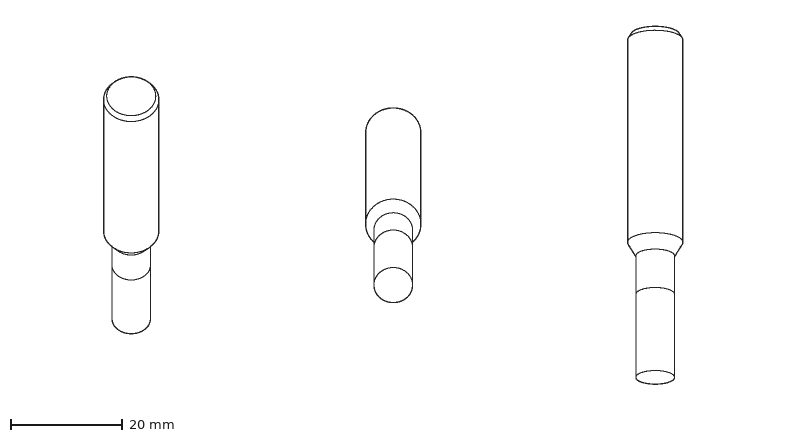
import cadquery as cq
import math

total_length = 66.0
shank_diameter = 10.0
neck_diameter = 7.0
tip_length = 16.0
shank_top_length = 40.0
end_chamfer_height = 1.0
end_chamfer_angle = 30.0
taper_angle = 30.0

shank_radius = shank_diameter / 2
neck_radius = neck_diameter / 2
end_face_radius = shank_radius - end_chamfer_height * math.tan(math.radians(end_chamfer_angle))
taper_height = (shank_radius - neck_radius) / math.tan(math.radians(taper_angle))
taper_top = total_length - shank_top_length
taper_bottom = taper_top - taper_height


def make_shank():
    """Turned shank: neck, conical taper, full-diameter grip and chamfered end."""
    return (
        cq.Workplane("XZ")
        .moveTo(0, tip_length)
        .lineTo(neck_radius, tip_length)
        .lineTo(neck_radius, taper_bottom)
        .lineTo(shank_radius, taper_top)
        .lineTo(shank_radius, total_length - end_chamfer_height)
        .lineTo(end_face_radius, total_length)
        .lineTo(0, total_length)
        .close()
        .revolve(360, (0, 0, 0), (0, 1, 0))
    )


def make_tip():
    """Plain cylinder butted against the lower face of the neck."""
    return cq.Workplane("XY").circle(neck_radius).extrude(tip_length)


shank = make_shank()
tip = make_tip()

result = cq.Compound.makeCompound([shank.val(), tip.val()])